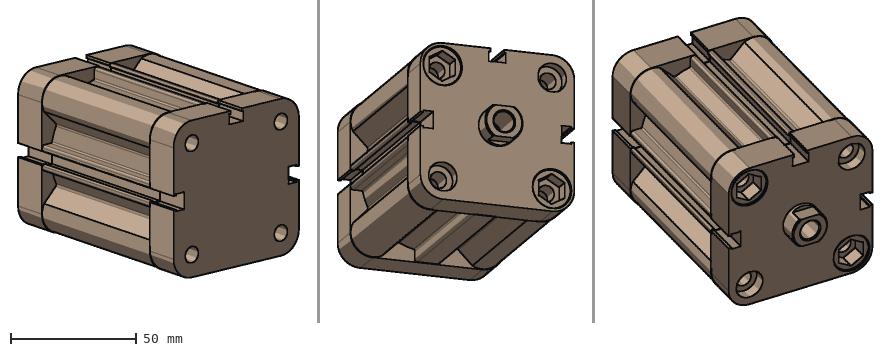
import cadquery as cq
import math


CAP_SIZE = 65.5
BODY_LENGTH = 96.5
CAP_LENGTH = 14.8
BARREL_LENGTH = BODY_LENGTH - 2 * CAP_LENGTH
BARREL_SIZE = 65.0
BOLT_PITCH = 46.5
BOLT_OFFSET = BOLT_PITCH / 2

THROUGH_DIA = 6.8
COUNTERBORE_DIA = 12.0
COUNTERBORE_DEPTH = 5.0
HEX_ACROSS_FLATS = 11.0
HEX_DEPTH = 7.0
HEAD_DIA = 16.0
HEAD_RECESS = 0.5
HEAD_GAP_DIA = 16.5
HEAD_GAP_DEPTH = 1.0

TUBE_RADIUS = 28.0
LOBE_WIDTH = 17.5
LOBE_RADIUS = BARREL_SIZE / 2 - BOLT_OFFSET
LOBE_FILLET = 1.0
RIB_WIDTH = 10.7
RIB_TOP_FILLET = 1.0
RIB_FOOT_FILLET = 0.8
LIP_FILLET = 0.7

CAP_SLOT_MOUTH = 5.9
CAP_SLOT_INNER = 7.2
CAP_LIP_THICKNESS = 1.3
CAP_SLOT_DEPTH = 5.5
CAP_SLOT_LIP = CAP_SIZE / 2 - CAP_LIP_THICKNESS
CAP_SLOT_FLOOR = CAP_SIZE / 2 - CAP_SLOT_DEPTH
BARREL_SLOT_MOUTH = 5.2
BARREL_SLOT_INNER = 6.6
BARREL_LIP_THICKNESS = 1.25
BARREL_SLOT_DEPTH = 4.95
BARREL_SLOT_LIP = BARREL_SIZE / 2 - BARREL_LIP_THICKNESS
BARREL_SLOT_FLOOR = BARREL_SIZE / 2 - BARREL_SLOT_DEPTH

ROD_DIA = 16.0
ROD_PROJECTION = 8.0
ROD_LENGTH = ROD_PROJECTION + CAP_LENGTH
ROD_CHAMFER = 0.5
WRENCH_FLATS = 13.0
WRENCH_LENGTH = 6.1
WRENCH_RUNOUT = 0.4
BORE_DIA = 8.5
BORE_DEPTH = 16.0
BORE_TIP = 2.5
BORE_CHAMFER = 0.5

SLOT_TURNS = (0, 90, -90)
SCREW_CORNERS = [(BOLT_OFFSET, BOLT_OFFSET), (-BOLT_OFFSET, -BOLT_OFFSET)]
PLAIN_CORNERS = [(BOLT_OFFSET, -BOLT_OFFSET), (-BOLT_OFFSET, BOLT_OFFSET)]
ALL_CORNERS = SCREW_CORNERS + PLAIN_CORNERS


def section(x):
    """Workplane across the axis at X = x, with local axes Y and Z."""
    return cq.Workplane("YZ", origin=(x, 0, 0))


def t_slot(x, length, mouth, inner, lip, floor):
    """Cutter for one T-slot on the +Z side."""
    outside = CAP_SIZE
    return (
        section(x)
        .moveTo(-inner / 2, floor)
        .lineTo(inner / 2, floor)
        .lineTo(inner / 2, lip)
        .lineTo(mouth / 2, lip)
        .lineTo(mouth / 2, outside)
        .lineTo(-mouth / 2, outside)
        .lineTo(-mouth / 2, lip)
        .lineTo(-inner / 2, lip)
        .close()
        .extrude(length)
    )


def about_axis(shape, angle):
    """Shape turned about the X axis."""
    return shape.rotate((0, 0, 0), (1, 0, 0), angle)


def cap(x):
    """Plain cap with three T-slots and four corner through holes."""
    corner_radius = CAP_SIZE / 2 - BOLT_OFFSET
    block = section(x).rect(CAP_SIZE, CAP_SIZE).extrude(CAP_LENGTH).edges("|X").fillet(corner_radius)
    slot = t_slot(x, CAP_LENGTH, CAP_SLOT_MOUTH, CAP_SLOT_INNER, CAP_SLOT_LIP, CAP_SLOT_FLOOR)
    for angle in SLOT_TURNS:
        block = block.cut(about_axis(slot, angle))
    holes = section(x).pushPoints(ALL_CORNERS).circle(THROUGH_DIA / 2).extrude(CAP_LENGTH)
    return block.cut(holes)


def make_front_cap():
    """Cap with a rod hole, two counterbored corners and two corners shaped as hexagon socket heads."""
    counterbores = section(0).pushPoints(PLAIN_CORNERS).circle(COUNTERBORE_DIA / 2)
    body = cap(0).cut(counterbores.extrude(COUNTERBORE_DEPTH))

    hexagon = section(0).polygon(6, HEX_ACROSS_FLATS, circumscribed=True).extrude(HEX_DEPTH)
    recess = section(0).circle(HEAD_GAP_DIA / 2).extrude(HEAD_RECESS)
    groove = section(0).circle(HEAD_GAP_DIA / 2).circle(HEAD_DIA / 2).extrude(HEAD_GAP_DEPTH)
    screw_head = hexagon.union(recess).union(groove)
    for y, z in SCREW_CORNERS:
        body = body.cut(screw_head.translate((0, y, z)))
    return body.cut(section(0).circle(ROD_DIA / 2).extrude(CAP_LENGTH))


def lengthwise_edges(body, near, far):
    """Edges along X whose smaller and larger distances from the Y and Z planes are near and far."""
    tolerance = 0.01

    def matches(edge):
        center = edge.Center()
        low, high = sorted((abs(center.y), abs(center.z)))
        return abs(low - near) < tolerance and abs(high - far) < tolerance

    return body.edges("|X").filter(matches)


def make_barrel():
    """Tube with four corner lobes, a rib on each side and T-slots in three of the ribs."""
    start = CAP_LENGTH
    body = section(start).circle(TUBE_RADIUS).extrude(BARREL_LENGTH)

    diagonal = BOLT_PITCH * math.sqrt(2)
    web = section(start).rect(diagonal, LOBE_WIDTH).extrude(BARREL_LENGTH)
    ends = section(start).pushPoints([(-diagonal / 2, 0), (diagonal / 2, 0)]).circle(LOBE_RADIUS)
    limits = section(start).rect(2 * diagonal, LOBE_WIDTH).extrude(BARREL_LENGTH)
    lobes = web.union(ends.extrude(BARREL_LENGTH)).intersect(limits)
    for angle in (45, -45):
        body = body.union(about_axis(lobes, angle))
    half_web = LOBE_WIDTH / 2
    along_web = math.sqrt(TUBE_RADIUS ** 2 - half_web ** 2)
    foot_near = (along_web - half_web) / math.sqrt(2)
    foot_far = (along_web + half_web) / math.sqrt(2)
    body = lengthwise_edges(body, foot_near, foot_far).fillet(LOBE_FILLET)

    for size in ((RIB_WIDTH, BARREL_SIZE), (BARREL_SIZE, RIB_WIDTH)):
        body = body.union(section(start).rect(*size).extrude(BARREL_LENGTH))
    half_rib = RIB_WIDTH / 2
    rib_foot = math.sqrt(TUBE_RADIUS ** 2 - half_rib ** 2)
    body = lengthwise_edges(body, half_rib, rib_foot).fillet(RIB_FOOT_FILLET)
    body = lengthwise_edges(body, half_rib, BARREL_SIZE / 2).fillet(RIB_TOP_FILLET)

    slot = t_slot(start, BARREL_LENGTH, BARREL_SLOT_MOUTH, BARREL_SLOT_INNER,
                  BARREL_SLOT_LIP, BARREL_SLOT_FLOOR)
    for angle in SLOT_TURNS:
        body = body.cut(about_axis(slot, angle))
    body = lengthwise_edges(body, BARREL_SLOT_MOUTH / 2, BARREL_SIZE / 2).fillet(LIP_FILLET)

    holes = section(start).pushPoints(ALL_CORNERS).circle(THROUGH_DIA / 2).extrude(BARREL_LENGTH)
    return body.cut(holes)


def make_piston_rod():
    """Rod through the front cap, with wrench flats and a blind bore."""
    tip = -ROD_PROJECTION
    rod = section(tip).circle(ROD_DIA / 2).extrude(ROD_LENGTH).faces("<X").chamfer(ROD_CHAMFER)

    half_flats = WRENCH_FLATS / 2
    flat_end = tip + WRENCH_LENGTH
    flat = (
        cq.Workplane("XZ")
        .moveTo(tip, half_flats)
        .lineTo(flat_end, half_flats)
        .lineTo(flat_end + WRENCH_RUNOUT, ROD_DIA / 2)
        .lineTo(tip, ROD_DIA / 2)
        .close()
        .extrude(ROD_DIA / 2, both=True)
    )
    for angle in (0, 180):
        rod = rod.cut(about_axis(flat, angle))

    bore_radius = BORE_DIA / 2
    bore = (
        cq.Workplane("XZ")
        .moveTo(tip, 0)
        .lineTo(tip, bore_radius + BORE_CHAMFER)
        .lineTo(tip + BORE_CHAMFER, bore_radius)
        .lineTo(tip + BORE_DEPTH, bore_radius)
        .lineTo(tip + BORE_DEPTH + BORE_TIP, 0)
        .close()
        .revolve(360, (0, 0, 0), (1, 0, 0))
    )
    return rod.cut(bore)


front_cap = make_front_cap()
barrel = make_barrel()
rear_cap = cap(CAP_LENGTH + BARREL_LENGTH)
piston_rod = make_piston_rod()

result = cq.Compound.makeCompound([front_cap.val(), barrel.val(), rear_cap.val(), piston_rod.val()])